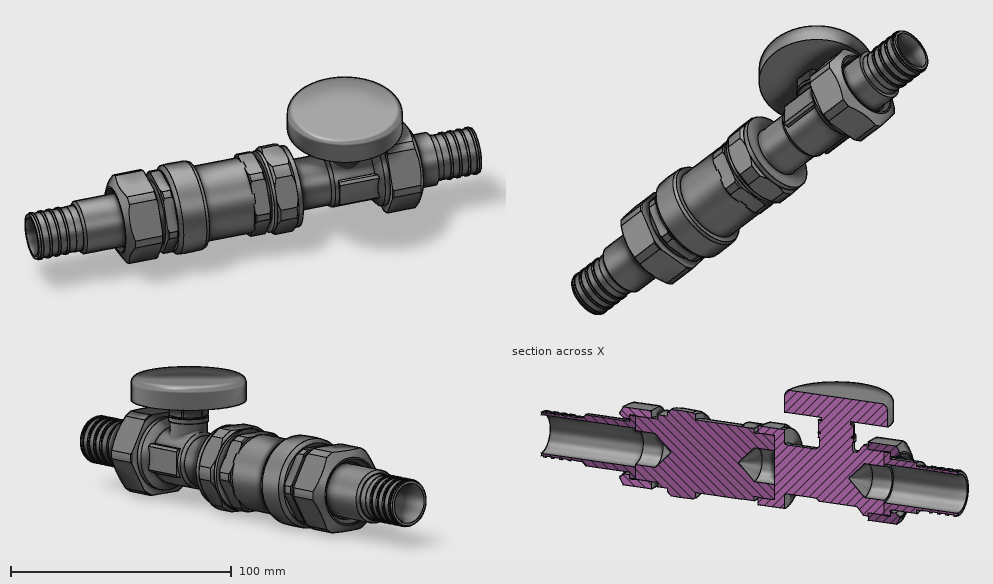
import cadquery as cq
import math


run_length = 211.31
valve_tip_y = 61.95
check_tip_y = valve_tip_y - run_length

tail_bore_d = 18.16
tail_root_d = 20.7
tail_ridge_d = 21.74
tail_collar_d = 21.0
tail_shank_d = 24.38
tail_flange_d = 29.97
tail_flange_length = 3.0
ridge_pitch = 4.15
ridge_width = 1.1
ridge_count = 4
ridge_first = 1.1
tail_collar_start = 18.0
valve_shoulder = 21.0
check_shoulder = 22.5
check_shoulder_taper = 1.2

nut_length = 16.2
nut_flats = 37.2
nut_corner_d = 40.9
nut_nose_d = 31.2
nut_nose_length = 2.9
nut_bore_d = 26.42
nut_lip = 5.0
countersink_d = 29.6
countersink_depth = 2.2
nut_back_chamfer = 0.4
valve_nut_y = 16.3
check_nut_y = -93.4

spigot_d = 30.3
spigot_depth = nut_length - nut_lip - tail_flange_length
port_d = 15.88
port_depth = 10.0
drill_tip_angle = 90.0

rim_d = 33.4
rim_end_y = 13.9
body_d = 26.0
body_start_y = 10.6
body_end_y = -10.2
body_end_chamfer = 1.6
tube_d = 23.5
hub_d = 24.1
hub_length = 1.0
socket_start_y = -25.9
socket_end_y = -39.6
socket_flats = 37.6
socket_corner_d = 40.4
socket_tube_band = 2.2
socket_mouth_band = 1.4
socket_chamfer = 1.2
pad_height = 13.2
pad_start_y = 12.3
pad_end_y = -6.8
pad_face_x = 13.7
pad_chamfer = 1.2
boss_d = 16.9
boss_top_z = 17.2
boss_fillet = 1.0

gauge_d = 52.32
gauge_top_z = 37.75
gauge_thickness = 10.9
gauge_fillet = 3.0
gauge_stem_d = 14.9
gauge_seat_d = 18.16
gauge_seat_top_z = 19.3
gauge_groove_d = 16.0
gauge_hex_flats = 16.2
gauge_hex_start_z = 19.9
gauge_hex_end_z = 25.6

check_hex_flats = 34.4
check_hex_corner_d = 37.9
check_hex_chamfer = 0.6
valve_side_hex_y = (-41.4, -48.7)
nut_side_hex_y = (-85.4, -90.4)
barrel_d = 34.7
barrel_start_y = -47.8
band_d = 41.7
band_edge_d = 41.1
band_entry_d = 39.8
band_entry_length = 1.5
band_start_y = -71.1
band_end_y = -83.6
band_taper_d = 37.6


def corner_distance(flats):
    """Distance across the corners of a hexagon from its distance across flats."""
    return flats / math.cos(math.radians(30))


def turned(points):
    """Solid of revolution about Y from a closed outline of (radius, y) points."""
    return cq.Workplane("XY").polyline(points).close().revolve(360, (0, 0, 0), (0, 1, 0))


def cylinder_y(diameter, y_a, y_b):
    """Cylinder on the pipe axis between two Y positions."""
    y_low = min(y_a, y_b)
    return cq.Workplane("XZ", origin=(0, y_low, 0)).circle(diameter / 2).extrude(-abs(y_a - y_b))


def hexagon_y(flats, y_a, y_b):
    """Hexagonal bar on the pipe axis with flats facing up and down."""
    y_low = min(y_a, y_b)
    across_corners = corner_distance(flats)
    return cq.Workplane("XZ", origin=(0, y_low, 0)).polygon(6, across_corners).extrude(-abs(y_a - y_b))


def drilled_port(mouth_y, direction):
    """Blind drilled hole with a conical end; direction is the sign of Y it runs in."""
    radius = port_d / 2
    tip_length = radius / math.tan(math.radians(drill_tip_angle / 2))
    bottom_y = mouth_y + direction * port_depth
    return turned([
        (0, mouth_y),
        (radius, mouth_y),
        (radius, bottom_y),
        (0, bottom_y + direction * tip_length),
    ])


def make_tailpiece(tip_y, flange_y, shoulder, direction):
    """Barbed tailpiece; direction is the sign of Y from the tip to the flange."""
    flange_end_y = flange_y + direction * tail_flange_length
    tail = cylinder_y(tail_root_d, tip_y, flange_end_y)
    for index in range(ridge_count):
        ridge_y = tip_y + direction * (ridge_first + index * ridge_pitch)
        tail = tail.union(cylinder_y(tail_ridge_d, ridge_y, ridge_y + direction * ridge_width))
    tail = tail.union(cylinder_y(tail_collar_d, tip_y + direction * tail_collar_start, flange_y))
    tail = tail.union(cylinder_y(tail_shank_d, tip_y + direction * shoulder, flange_y))
    tail = tail.union(cylinder_y(tail_flange_d, flange_y, flange_end_y))
    return tail.cut(cylinder_y(tail_bore_d, tip_y, flange_end_y))


def make_shoulder_cone(direction):
    """Cone in front of the check side shank; direction is the sign of Y from the tip to the shank."""
    shank_y = check_tip_y + direction * check_shoulder
    cone_y = shank_y - direction * check_shoulder_taper
    return turned([
        (tail_bore_d / 2, shank_y),
        (tail_shank_d / 2, shank_y),
        (tail_ridge_d / 2, cone_y),
        (tail_bore_d / 2, cone_y),
    ])


def make_union_nut(open_y, direction):
    """Union nut; direction is the sign of Y from its open end to its chamfered nose."""
    nose_y = open_y + direction * nut_length
    lip_y = nose_y - direction * nut_lip
    envelope = turned([
        (0, open_y),
        (nut_corner_d / 2 - nut_back_chamfer, open_y),
        (nut_corner_d / 2, open_y + direction * nut_back_chamfer),
        (nut_corner_d / 2, nose_y - direction * nut_nose_length),
        (nut_nose_d / 2, nose_y),
        (0, nose_y),
    ])
    opening = turned([
        (0, open_y),
        (spigot_d / 2, open_y),
        (spigot_d / 2, lip_y),
        (nut_bore_d / 2, lip_y),
        (nut_bore_d / 2, nose_y - direction * countersink_depth),
        (countersink_d / 2, nose_y),
        (0, nose_y),
    ])
    return hexagon_y(nut_flats, open_y, nose_y).intersect(envelope).cut(opening)


def make_socket():
    """Hexagonal socket of the valve: a rounded hexagon between two round bands."""
    hex_start_y = socket_start_y - socket_tube_band
    hex_end_y = socket_end_y + socket_mouth_band
    corner_radius = socket_corner_d / 2
    edge_radius = corner_radius - socket_chamfer
    envelope = turned([
        (0, hex_start_y),
        (edge_radius, hex_start_y),
        (corner_radius, hex_start_y - socket_chamfer),
        (corner_radius, hex_end_y + socket_chamfer),
        (edge_radius, hex_end_y),
        (0, hex_end_y),
    ])
    hexagon = hexagon_y(socket_flats, hex_start_y, hex_end_y).intersect(envelope)
    return hexagon.union(cylinder_y(socket_flats, socket_start_y, socket_end_y))


def make_gauge():
    """Dial with its stem, hexagon and seat ring, all on the Z axis."""
    dial_bottom_z = gauge_top_z - gauge_thickness
    dial = cq.Workplane("XY", origin=(0, 0, dial_bottom_z)).circle(gauge_d / 2).extrude(gauge_thickness)
    dial = dial.faces(">Z").edges().fillet(gauge_fillet)
    stem = cq.Workplane("XY", origin=(0, 0, gauge_hex_start_z)).circle(gauge_stem_d / 2)
    stem = stem.extrude(dial_bottom_z - gauge_hex_start_z)
    hex_height = gauge_hex_end_z - gauge_hex_start_z
    across_corners = corner_distance(gauge_hex_flats)
    hex_base = cq.Workplane("XY", origin=(0, 0, gauge_hex_start_z))
    hexagon = hex_base.transformed(rotate=(0, 0, 30)).polygon(6, across_corners).extrude(hex_height)
    hexagon = hexagon.intersect(hex_base.circle(gauge_seat_d / 2).extrude(hex_height))
    groove = cq.Workplane("XY", origin=(0, 0, gauge_seat_top_z)).circle(gauge_groove_d / 2)
    groove = groove.extrude(gauge_hex_start_z - gauge_seat_top_z)
    seat = cq.Workplane("XY", origin=(0, 0, boss_top_z)).circle(gauge_seat_d / 2)
    seat = seat.extrude(gauge_seat_top_z - boss_top_z)
    return dial.union(stem).union(hexagon).union(groove).union(seat)


def make_valve():
    """Valve with a spigot, a hexagonal socket, two side pads and the gauge on its boss."""
    spigot_end_y = valve_nut_y + spigot_depth
    body = turned([
        (0, spigot_end_y),
        (spigot_d / 2, spigot_end_y),
        (spigot_d / 2, valve_nut_y),
        (rim_d / 2, valve_nut_y),
        (rim_d / 2, rim_end_y),
        (body_d / 2, body_start_y),
        (body_d / 2, body_end_y + body_end_chamfer),
        (tube_d / 2, body_end_y),
        (tube_d / 2, socket_start_y + hub_length),
        (hub_d / 2, socket_start_y),
        (0, socket_start_y),
    ])
    boss = cq.Workplane("XY").circle(boss_d / 2).extrude(boss_top_z)
    body = body.union(boss)
    on_boss_foot = cq.selectors.BoxSelector(
        (-boss_d, -boss_d, body_d / 4), (boss_d, boss_d, (body_d / 2 + boss_top_z) / 2))
    body = body.edges(on_boss_foot).edges("not %CIRCLE").edges("not %LINE").fillet(boss_fillet)
    pad_length = pad_start_y - pad_end_y
    pads = cq.Workplane("XY").box(2 * pad_face_x, pad_length, pad_height)
    pads = pads.edges("|Y").chamfer(pad_chamfer)
    body = body.union(pads.translate((0, (pad_start_y + pad_end_y) / 2, 0)))
    body = body.union(make_socket()).union(make_gauge())
    body = body.cut(cylinder_y(spigot_d, socket_end_y, socket_end_y + spigot_depth))
    return body.cut(drilled_port(spigot_end_y, -1))


def make_check_hexagon(y_start, y_end):
    """Rounded hexagon of the check valve with chamfered corners at both ends."""
    envelope = cylinder_y(check_hex_corner_d, y_start, y_end).edges("%CIRCLE").chamfer(check_hex_chamfer)
    return hexagon_y(check_hex_flats, y_start, y_end).intersect(envelope)


def make_check_valve():
    """Check valve: two spigots, two hexagons, a plain barrel and a bulged band."""
    valve_end_y = socket_end_y + spigot_depth
    nut_end_y = check_nut_y - spigot_depth
    barrel_end_y = nut_side_hex_y[0]
    bulge_start_y = band_start_y - band_entry_length
    band_middle_y = (bulge_start_y + band_end_y) / 2
    band = (
        cq.Workplane("XY")
        .moveTo(0, band_start_y)
        .lineTo(band_entry_d / 2, band_start_y)
        .lineTo(band_edge_d / 2, bulge_start_y)
        .threePointArc((band_d / 2, band_middle_y), (band_edge_d / 2, band_end_y))
        .lineTo(band_taper_d / 2, barrel_end_y)
        .lineTo(0, barrel_end_y)
        .close()
        .revolve(360, (0, 0, 0), (0, 1, 0))
    )
    body = cylinder_y(spigot_d, valve_end_y, nut_end_y)
    body = body.union(cylinder_y(barrel_d, barrel_start_y, band_start_y))
    body = body.union(band)
    for y_start, y_end in (valve_side_hex_y, nut_side_hex_y):
        body = body.union(make_check_hexagon(y_start, y_end))
    return body.cut(drilled_port(valve_end_y, -1)).cut(drilled_port(nut_end_y, 1))


valve = make_valve()
check_valve = make_check_valve()
union_nuts = []
tailpieces = []
for open_y, tip_y, shoulder, outward in (
    (valve_nut_y, valve_tip_y, valve_shoulder, 1),
    (check_nut_y, check_tip_y, check_shoulder, -1),
):
    union_nuts.append(make_union_nut(open_y, outward))
    lip_y = open_y + outward * (nut_length - nut_lip)
    tailpieces.append(make_tailpiece(tip_y, lip_y, shoulder, -outward))
tailpieces[1] = tailpieces[1].union(make_shoulder_cone(1))

bodies = [valve, check_valve] + union_nuts + tailpieces
result = cq.Compound.makeCompound([body.val() for body in bodies])